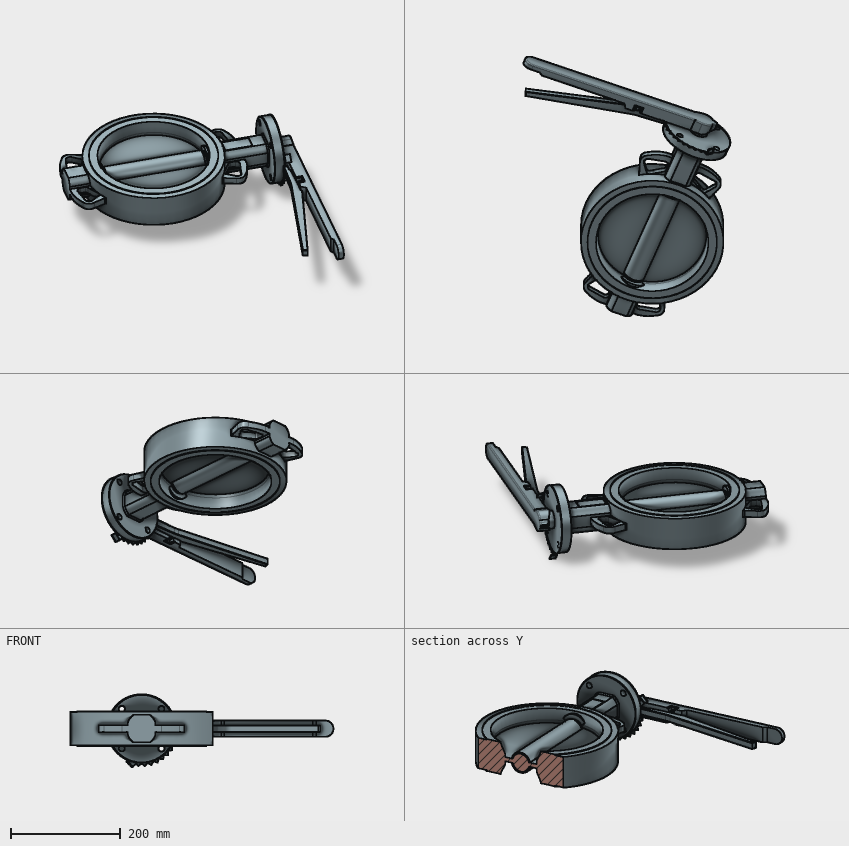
import cadquery as cq
import math


body_radius = 130
body_half_width = 30.5
face_radius = 118
face_half_width = 32
bore_radius = 102.5
seat_radius = 98.8
seat_half_width = 11

disc_half_thickness = 4.6
hub_radius = 20
hub_half_length = 93
stem_radius = 18
stem_boss_radius = 27.5
stem_boss_face = 97

neck_half = 25
neck_flat_half_x = 15
neck_flat_half_z = 11.5
neck_corner_radius = 28.5
neck_bottom = -166
neck_flare_height = 3
neck_flare_angle = 40
neck_corner_mid_angle = 42
name_plate_width = 26
name_plate_bottom = 132.5
name_plate_top = 184
name_plate_depth = 1

ear_half_thickness = 6.3
ear_end = 166
ear_shoulder_x = 36
ear_brow_mid = (55, 161.7)
ear_brow_end = (69, 154.6)
ear_corner_mid = (77.5, 145.5)
ear_corner_end = (76.8, 135)
ear_root_x = 69.3
ear_root_y = 113
ear_hole_outline = [(26.8, 155.5), (76.4, 146), (55.5, 116.8), (26.8, 135)]
ear_hole_radii = [7, 8, 5, 5]

flange_bottom = 212
flange_radius = 62.5
flange_chamfer = 1
bolt_circle_radius = 51
bolt_hole_diameter = 11

notch_plate_bottom = 230.2
notch_plate_top = 231.5
notch_plate_radius = 63
tooth_tip_radius = 68.6
tooth_half_width = 5.6
tooth_pitch = 10
first_tooth_angle = -95
tooth_count = 11
notch_hole_angles = (135, -45)
stop_top = 241.5
stop_tip_x = -17.3
stop_tip_z = -70.67
stop_depth = 10.6
stop_thickness = 2

lever_top = 261
lever_bottom = 237.3
lever_tail_x = -26.5
lever_tip_x = 350
lever_half_width = 15
lever_edge_fillet = 2
lever_grip_bottom = 246
grip_start_x = 151
grip_end_x = 312
tip_start_x = 318.5
boss_start_x = -4
boss_end_x = 145
lever_tip_bottom = 250.5
head_radius = 19.2
head_flank_angle = 78
head_flank_end = (18, 16)
tail_outline = [(0, 8.7), (-17, 8.7), (-20.5, 5.75), (-25.3, 2.2), (-26.5, 0)]
tail_bottom = 247.5
notch_start_x = 114.3
notch_end_x = 131.3
notch_top = 249
notch_depth = 1.5
notch_frame = 3
tab_start_x = 120
tab_end_x = 125.7
tab_top = 246.5
tab_half_width = 9
spindle_radius = 16.5

trigger_half_width = 6.5
trigger_edge_chamfer = 1
trigger_bend = (122, 225.4)
trigger_bend_radius = 70


def polar(radius, degrees):
    angle = math.radians(degrees)
    return radius * math.cos(angle), radius * math.sin(angle)


def cylinder_along_y(radius, start, end):
    return cq.Workplane("XZ", origin=(0, start, 0)).circle(radius).extrude(start - end)


def prism_along_y(points, start, end):
    """Prism with an outline given as (x, z) points, from y = start to y = end."""
    return cq.Workplane("XZ", origin=(0, start, 0)).polyline(points).close().extrude(start - end)


def prism_along_z(points, half_width):
    return cq.Workplane("XY").polyline(points).close().extrude(half_width, both=True)


def fillet_corner(solid, point, radius):
    """Round the vertical edge that passes through the (x, y) point."""
    x, y = point
    reach = 0.5
    tall = 200
    picker = cq.selectors.BoxSelector((x - reach, y - reach, -tall), (x + reach, y + reach, tall))
    return solid.edges("|Z").edges(picker).fillet(radius)


def make_body():
    body = cq.Workplane("XY").circle(body_radius).extrude(body_half_width, both=True)
    return body.union(cq.Workplane("XY").circle(face_radius).extrude(face_half_width, both=True))


def make_bore():
    """Opening that tapers from each face to a cylindrical seat around the disc."""
    half_profile = [
        (0, 0),
        (seat_radius, 0),
        (seat_radius, seat_half_width),
        (bore_radius, face_half_width),
        (0, face_half_width),
    ]
    upper = cq.Workplane("XZ").polyline(half_profile).close().revolve(360, (0, 0), (0, 1))
    return upper.union(upper.mirror("XY"))


def make_disc():
    disc = cq.Workplane("XY").circle(seat_radius).extrude(disc_half_thickness, both=True)
    hub = cylinder_along_y(hub_radius, -hub_half_length, hub_half_length)
    stem = cylinder_along_y(stem_radius, -bore_radius, bore_radius)
    disc = disc.union(hub).union(stem)
    for side in (1, -1):
        disc = disc.union(cylinder_along_y(stem_boss_radius, side * stem_boss_face, side * (bore_radius + 2)))
    return disc


def neck_section(y):
    """Neck cross-section on the plane at height y, facing +Y."""
    corner_mid_x, corner_mid_z = polar(neck_corner_radius, neck_corner_mid_angle)
    return (
        cq.Workplane(cq.Plane((0, y, 0), (-1, 0, 0), (0, 1, 0)))
        .moveTo(-neck_flat_half_x, neck_half)
        .lineTo(neck_flat_half_x, neck_half)
        .threePointArc((corner_mid_x, corner_mid_z), (neck_half, neck_flat_half_z))
        .lineTo(neck_half, -neck_flat_half_z)
        .threePointArc((corner_mid_x, -corner_mid_z), (neck_flat_half_x, -neck_half))
        .lineTo(-neck_flat_half_x, -neck_half)
        .threePointArc((-corner_mid_x, -corner_mid_z), (-neck_half, -neck_flat_half_z))
        .lineTo(-neck_half, neck_flat_half_z)
        .threePointArc((-corner_mid_x, corner_mid_z), (-neck_flat_half_x, neck_half))
        .close()
    )


def make_neck():
    """Neck with a sunken name plate field on top and a flared root below the flange."""
    neck = neck_section(neck_bottom).extrude(flange_bottom - neck_bottom)
    flare = neck_section(flange_bottom - neck_flare_height).extrude(
        neck_flare_height, taper=-neck_flare_angle
    )
    plate_length = name_plate_top - name_plate_bottom
    name_plate = (
        cq.Workplane("XY", origin=(0, name_plate_bottom + plate_length / 2, neck_half))
        .rect(name_plate_width, plate_length)
        .extrude(-name_plate_depth)
    )
    return neck.union(flare).cut(name_plate)


def make_ears():
    """Four ears: one is shaped and then mirrored about both stem planes."""
    ear = (
        cq.Workplane("XY")
        .moveTo(0, ear_end)
        .lineTo(ear_shoulder_x, ear_end)
        .threePointArc(ear_brow_mid, ear_brow_end)
        .threePointArc(ear_corner_mid, ear_corner_end)
        .lineTo(ear_root_x, ear_root_y)
        .lineTo(ear_root_x, 0)
        .lineTo(0, 0)
        .close()
        .extrude(ear_half_thickness, both=True)
    )
    hole = prism_along_z(ear_hole_outline, ear_half_thickness)
    for corner, radius in zip(ear_hole_outline, ear_hole_radii):
        hole = fillet_corner(hole, corner, radius)
    ear = ear.cut(hole)
    pair = ear.union(ear.mirror("YZ"))
    return pair.union(pair.mirror("XZ"))


def make_flange():
    flange = cylinder_along_y(flange_radius, flange_bottom, notch_plate_bottom)
    flange = flange.faces("<Y").chamfer(flange_chamfer)
    for angle in (45, 135, 225, 315):
        x, z = polar(bolt_circle_radius, angle)
        hole = cylinder_along_y(bolt_hole_diameter / 2, flange_bottom, notch_plate_bottom)
        flange = flange.cut(hole.translate((x, 0, z)))
    return flange


def make_notch_plate():
    plate = cylinder_along_y(notch_plate_radius, notch_plate_bottom, notch_plate_top)
    root_radius = tooth_tip_radius - tooth_half_width
    tooth_inside = 5
    tooth = prism_along_y(
        [
            (tooth_tip_radius, 0),
            (root_radius, tooth_half_width),
            (root_radius - tooth_inside, 0),
            (root_radius, -tooth_half_width),
        ],
        notch_plate_bottom,
        notch_plate_top,
    )
    for index in range(tooth_count):
        angle = first_tooth_angle + index * tooth_pitch
        plate = plate.union(tooth.rotate((0, 0, 0), (0, 1, 0), -angle))
    for angle in notch_hole_angles:
        x, z = polar(bolt_circle_radius, angle)
        hole = cylinder_along_y(bolt_hole_diameter / 2, notch_plate_bottom, notch_plate_top)
        plate = plate.cut(hole.translate((x, 0, z)))
    return plate


def make_stops():
    """Two upright tabs on triangular feet, mirror images about the line z = -x."""
    tip = (stop_tip_x, stop_tip_z)
    inner = (stop_tip_x - stop_depth, stop_tip_z + stop_depth)
    outer = (stop_tip_x + stop_depth, stop_tip_z + stop_depth)
    step = stop_thickness / math.sqrt(2)
    foot = [tip, inner, outer]
    tab = [tip, inner, (inner[0] + step, inner[1] + step), (tip[0] + step, tip[1] + step)]
    stops = prism_along_y(foot, notch_plate_bottom, notch_plate_top)
    stops = stops.union(prism_along_y(tab, notch_plate_bottom, stop_top))
    mirrored_foot = [(-z, -x) for x, z in foot]
    mirrored_tab = [(-z, -x) for x, z in tab]
    stops = stops.union(prism_along_y(mirrored_foot, notch_plate_bottom, notch_plate_top))
    return stops.union(prism_along_y(mirrored_tab, notch_plate_bottom, stop_top))


def block(x_range, y_range, z_range):
    (x0, x1), (y0, y1), (z0, z1) = x_range, y_range, z_range
    return cq.Workplane("XY").box(x1 - x0, y1 - y0, z1 - z0, centered=False).translate((x0, y0, z0))


def cut_lever_notches(lever):
    """Stepped notch in each lever side, with the trigger tab standing inside it."""
    width_range = (-lever_half_width, lever_half_width)
    outer_x = (notch_start_x, notch_end_x)
    inner_x = (notch_start_x + notch_frame, notch_end_x - notch_frame)
    core_z = (-lever_half_width + notch_depth, lever_half_width - notch_depth)
    outer_y = (lever_bottom, notch_top)
    inner_y = (lever_bottom, notch_top - notch_frame / 2)
    outer = block(outer_x, outer_y, width_range).cut(block(outer_x, outer_y, core_z))
    trigger_z = (-trigger_half_width, trigger_half_width)
    inner = block(inner_x, inner_y, width_range).cut(block(inner_x, inner_y, trigger_z))
    tab_z = (-tab_half_width, tab_half_width)
    tab = block((tab_start_x, tab_end_x), (lever_bottom, tab_top), tab_z)
    return lever.cut(outer).cut(inner).union(tab)


def make_lever():
    side_profile = [
        (lever_tail_x, lever_top),
        (lever_tip_x, lever_top),
        (lever_tip_x, lever_tip_bottom),
        (tip_start_x, lever_tip_bottom),
        (grip_end_x, lever_grip_bottom),
        (grip_start_x, lever_grip_bottom),
        (boss_end_x, lever_bottom),
        (boss_start_x, lever_bottom),
        (lever_tail_x, tail_bottom),
    ]
    side = prism_along_z(side_profile, 2 * head_radius)
    tip_center_x = lever_tip_x - lever_half_width
    bar = (
        cq.Workplane("XZ", origin=(0, lever_top, 0))
        .moveTo(0, lever_half_width)
        .lineTo(tip_center_x, lever_half_width)
        .threePointArc((lever_tip_x, 0), (tip_center_x, -lever_half_width))
        .lineTo(0, -lever_half_width)
        .close()
        .extrude(lever_top - lever_bottom)
    )
    head = cylinder_along_y(head_radius, lever_bottom, lever_top)
    flank_x, flank_z = polar(head_radius, head_flank_angle)
    flank_end_x, flank_end_z = head_flank_end
    flanks = prism_along_y(
        [(flank_x, flank_z), head_flank_end, (flank_end_x, -flank_end_z), (flank_x, -flank_z)],
        lever_bottom,
        lever_top,
    )
    lower_tail = [(x, -z) for x, z in reversed(tail_outline[:-1])]
    tail = prism_along_y(tail_outline + lower_tail, lever_bottom, lever_top)
    lever = bar.union(head).union(flanks).union(tail).intersect(side)
    lever = lever.faces(">Y").edges().fillet(lever_edge_fillet)
    lever = cut_lever_notches(lever)
    spindle = cylinder_along_y(spindle_radius, notch_plate_bottom, lever_bottom + 5)
    return lever.union(spindle)


def make_trigger():
    profile = [
        (63.5, 227.5),
        trigger_bend,
        (322.5, 189.8),
        (325.5, 199),
        (145, 240.5),
        (78, lever_bottom),
        (76, 235.3),
        (63.5, 235.3),
    ]
    trigger = prism_along_z(profile, trigger_half_width)
    trigger = fillet_corner(trigger, trigger_bend, trigger_bend_radius)
    return trigger.faces("|Z").chamfer(trigger_edge_chamfer)


result = (
    make_body()
    .union(make_neck())
    .union(make_flange())
    .union(make_ears())
    .cut(make_bore())
    .union(make_disc())
    .union(make_notch_plate())
    .union(make_stops())
    .union(make_lever())
    .union(make_trigger())
)